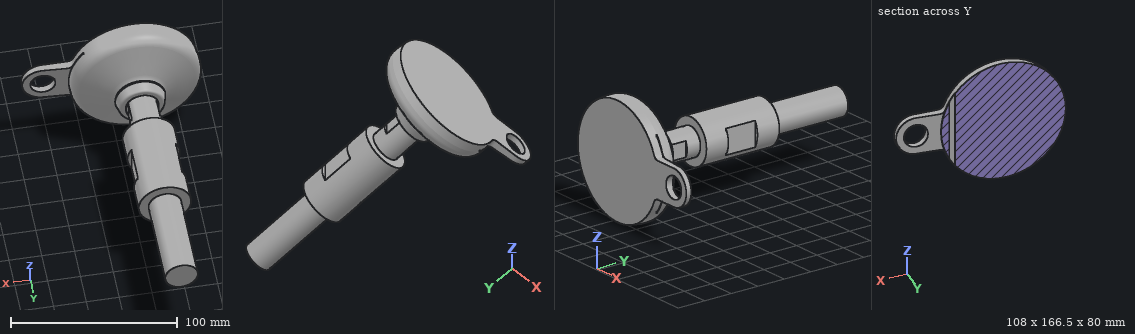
import cadquery as cq
import math


STEM_END = 166.5

SOLE_RADIUS = 39.2
FOOT_RADIUS = 40.0
RIM_HEIGHT = 6.05
SHOULDER_START = 9.0
SHOULDER_RADIUS = 7.1
CONE_ANGLE = math.radians(22)
CONE_TOP_RADIUS = 17.4

NECK_RADIUS = 14.8
NECK_BOTTOM = 24.6
COLLAR_BOTTOM = 25.5
COLLAR_TOP = 32.2
COLLAR_BOTTOM_RADIUS = 15.5
COLLAR_TOP_RADIUS = 13.7
COLLAR_TOP_FILLET = 1.5
COLLAR_BOTTOM_FILLET = 0.4

LUG_WIDTH = 25.0
LUG_RADIUS = LUG_WIDTH / 2
LUG_TIP_X = 68.0
LUG_HOLE_X = LUG_TIP_X - LUG_RADIUS
LUG_HOLE_DIAMETER = 15.0
LUG_TIP_HEIGHT = 3.9
LUG_SLOPE_START_X = 31.0
LUG_ROOT_FILLET = 4.0

STEM_DIAMETER = 20.0
STEM_FLAT_WIDTH = 17.0
STEM_FLAT_BOTTOM = 33.4
STEM_FLAT_LENGTH = 11.6

SLEEVE_DIAMETER = 32.0
SLEEVE_LENGTH = 55.0
SLEEVE_BOTTOM = 55.0
SLEEVE_FLAT_WIDTH = 27.0
SLEEVE_FLAT_LENGTH = 22.0


def disc(diameter, bottom, length):
    """Cylinder around the Y axis that rises from Y = bottom."""
    face = cq.Workplane("XZ", origin=(0, bottom, 0)).circle(diameter / 2)
    return face.extrude(-length)


def flat_cutter(diameter, width, bottom, length):
    """Material outside two flats that face -X and +X."""
    slab = cq.Workplane("XY").box(width, length, diameter)
    slab = slab.translate((0, bottom + length / 2, 0))
    return disc(2 * diameter, bottom, length).cut(slab)


def make_base():
    """Tapered rim with the fixing lug, whose top slopes down to the tip."""
    rim = (
        cq.Workplane("XY")
        .polyline([(0, 0), (SOLE_RADIUS, 0), (FOOT_RADIUS, RIM_HEIGHT), (0, RIM_HEIGHT)])
        .close()
        .revolve(360, (0, 0), (0, 1))
    )
    lug = (
        cq.Workplane("XZ")
        .moveTo(0, -LUG_RADIUS)
        .lineTo(LUG_HOLE_X, -LUG_RADIUS)
        .threePointArc((LUG_TIP_X, 0), (LUG_HOLE_X, LUG_RADIUS))
        .lineTo(0, LUG_RADIUS)
        .close()
        .extrude(-RIM_HEIGHT)
    )
    root_corner = (SOLE_RADIUS * math.cos(math.asin(LUG_RADIUS / SOLE_RADIUS)), RIM_HEIGHT / 2)
    base = rim.union(lug)
    for side in (-1, 1):
        root_edge = cq.NearestToPointSelector((*root_corner, side * LUG_RADIUS))
        base = base.edges(root_edge).fillet(LUG_ROOT_FILLET)
    slope_cutter = (
        cq.Workplane("XY")
        .polyline(
            [
                (LUG_SLOPE_START_X, RIM_HEIGHT),
                (LUG_TIP_X, LUG_TIP_HEIGHT),
                (LUG_TIP_X, RIM_HEIGHT),
            ]
        )
        .close()
        .extrude(FOOT_RADIUS, both=True)
    )
    hole = disc(LUG_HOLE_DIAMETER, 0, RIM_HEIGHT).translate((LUG_HOLE_X, 0, 0))
    return base.cut(slope_cutter).cut(hole)


def make_dome():
    """Revolved body: straight side, rounded shoulder, cone and flared neck."""
    shoulder_end_radius = FOOT_RADIUS - SHOULDER_RADIUS * (1 - math.sin(CONE_ANGLE))
    shoulder_end = SHOULDER_START + SHOULDER_RADIUS * math.cos(CONE_ANGLE)
    cone_top = shoulder_end + (shoulder_end_radius - CONE_TOP_RADIUS) * math.tan(CONE_ANGLE)
    dome = (
        cq.Workplane("XY")
        .moveTo(0, RIM_HEIGHT)
        .lineTo(FOOT_RADIUS, RIM_HEIGHT)
        .lineTo(FOOT_RADIUS, SHOULDER_START)
        .tangentArcPoint((shoulder_end_radius, shoulder_end), relative=False)
        .lineTo(CONE_TOP_RADIUS, cone_top)
        .tangentArcPoint((NECK_RADIUS, NECK_BOTTOM), relative=False)
        .lineTo(NECK_RADIUS, COLLAR_BOTTOM)
        .lineTo(0, COLLAR_BOTTOM)
        .close()
        .revolve(360, (0, 0), (0, 1))
    )
    lug_slope = (RIM_HEIGHT - LUG_TIP_HEIGHT) / (LUG_TIP_X - LUG_SLOPE_START_X)
    side_drop = lug_slope * (FOOT_RADIUS - LUG_SLOPE_START_X)
    side_bottom = RIM_HEIGHT - side_drop
    lug_side = cq.Workplane("XY").box(
        FOOT_RADIUS, RIM_HEIGHT, 2 * FOOT_RADIUS, centered=(False, False, True)
    )
    lug_side = lug_side.translate((LUG_SLOPE_START_X, 0, 0))
    side = disc(2 * FOOT_RADIUS, side_bottom, side_drop)
    return dome.union(side.intersect(lug_side))


def make_collar():
    """Tapered collar with rounded rims on top of the neck."""
    return (
        cq.Workplane("XY")
        .polyline(
            [
                (0, COLLAR_BOTTOM),
                (COLLAR_BOTTOM_RADIUS, COLLAR_BOTTOM),
                (COLLAR_TOP_RADIUS, COLLAR_TOP),
                (0, COLLAR_TOP),
            ]
        )
        .close()
        .revolve(360, (0, 0), (0, 1))
        .faces(">Y")
        .edges()
        .fillet(COLLAR_TOP_FILLET)
        .faces("<Y")
        .edges()
        .fillet(COLLAR_BOTTOM_FILLET)
    )


def make_stem():
    """Round stem rising from the collar, with two spanner flats just above it."""
    stem = disc(STEM_DIAMETER, COLLAR_TOP, STEM_END - COLLAR_TOP)
    flats = flat_cutter(STEM_DIAMETER, STEM_FLAT_WIDTH, STEM_FLAT_BOTTOM, STEM_FLAT_LENGTH)
    return stem.cut(flats)


def make_foot():
    """Foot and stem in one piece."""
    return make_base().union(make_dome()).union(make_collar()).union(make_stem())


def make_sleeve():
    """Sleeve around the stem, with two spanner flats at mid-length."""
    sleeve = disc(SLEEVE_DIAMETER, SLEEVE_BOTTOM, SLEEVE_LENGTH)
    bore = disc(STEM_DIAMETER, SLEEVE_BOTTOM, SLEEVE_LENGTH)
    flat_bottom = SLEEVE_BOTTOM + (SLEEVE_LENGTH - SLEEVE_FLAT_LENGTH) / 2
    flats = flat_cutter(SLEEVE_DIAMETER, SLEEVE_FLAT_WIDTH, flat_bottom, SLEEVE_FLAT_LENGTH)
    return sleeve.cut(bore).cut(flats)


foot = make_foot()
sleeve = make_sleeve()
result = cq.Compound.makeCompound([foot.val(), sleeve.val()])